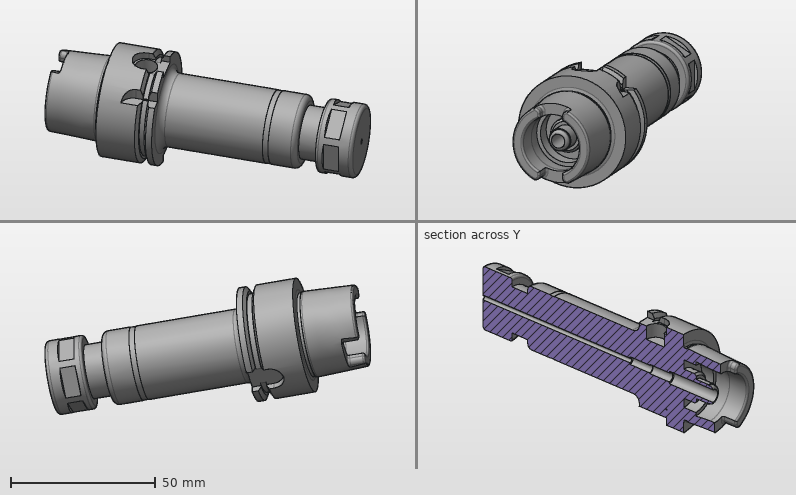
import cadquery as cq
import math

length = 110.0

shank_tip_radius = 14.3
shank_base_radius = 15.1
taper_end = 17.9
land_end = 18.6
undercut_radius = 14.7
undercut_cone_start = 19.7
undercut_rim_radius = 16.0
tip_fillet = 0.72

flange_start = 20.0
flange_end = 40.0
flange_radius = 40.0 / 2
groove_start = 33.9
groove_end = 37.8
groove_floor_radius = 17.4
groove_slope_length = 1.0
groove_slope_angle = 60.0
groove_slope_drop = groove_slope_length * math.tan(math.radians(groove_slope_angle))

body_radius = 13.0
body_root_fillet = 2.8
band_start = 77.9
band_end = 79.9
band_radius = 12.9
body_end = 90.0
body_end_fillet = 2.0
neck_radius = 19.0 / 2

nut_start = 96.7
nut_radius = 13.0
nut_back_fillet = 1.0
nut_front_fillet = 1.3
flat_count = 6
flat_half_angle = 24.5
flat_distance = nut_radius * math.cos(math.radians(flat_half_angle))
flat_start = 99.5
flat_end = 104.9
flat_side_slope = 0.28

bore_radius = 10.5
clamp_groove_start = 8.0
clamp_groove_end = 14.5
clamp_groove_radius = 11.0
bore_floor_radius = 9.6
bore_floor = 19.8
sleeve_start = 14.3
sleeve_radius = 6.0
sleeve_face_radius = 10.5 / 2
tube_start = 6.9
tube_radius = 8.0 / 2
tube_tip_radius = 7.5 / 2
tube_tip_fillet = 1.2
tube_shoulder = 8.8

coolant_steps = [(5.0, 26.4), (3.5, 35.2), (3.0, 44.0), (1.6, length)]

drive_half_width = 4.2
drive_lip_height = 12.9
drive_lip_radius = 1.8
drive_floor_fillet = 0.8
drive_depth_top = 3.4
drive_depth_bottom = 6.0

key_width = 9.0
key_start = 27.8
key_floor = 17.0
chip_hole_diameter = 7.8
chip_hole_x = 32.7
chip_hole_depth = 5.5
notch_floor = 12.1
notch_wall = 12.1


def turned_body():
    """Outer form of the whole tool, revolved about X."""
    slope_bottom = flange_radius - groove_slope_drop
    profile = (
        cq.Workplane("XY")
        .moveTo(0, 0)
        .lineTo(0, shank_tip_radius)
        .lineTo(taper_end, shank_base_radius)
        .lineTo(land_end, shank_base_radius)
        .lineTo(land_end, undercut_radius)
        .lineTo(undercut_cone_start, undercut_radius)
        .lineTo(flange_start, undercut_rim_radius)
        .lineTo(flange_start, flange_radius)
        .lineTo(groove_start, flange_radius)
        .lineTo(groove_start + groove_slope_length, slope_bottom)
        .lineTo(groove_start + groove_slope_length, groove_floor_radius)
        .lineTo(groove_end - groove_slope_length, groove_floor_radius)
        .lineTo(groove_end - groove_slope_length, slope_bottom)
        .lineTo(groove_end, flange_radius)
        .lineTo(flange_end, flange_radius)
        .lineTo(flange_end, body_radius + body_root_fillet)
        .radiusArc((flange_end + body_root_fillet, body_radius), -body_root_fillet)
        .lineTo(band_start, body_radius)
        .lineTo(band_start, band_radius)
        .lineTo(band_end, band_radius)
        .lineTo(band_end, body_radius)
        .lineTo(body_end - body_end_fillet, body_radius)
        .radiusArc((body_end, body_radius - body_end_fillet), body_end_fillet)
        .lineTo(body_end, neck_radius)
        .lineTo(nut_start, neck_radius)
        .lineTo(nut_start, nut_radius - nut_back_fillet)
        .radiusArc((nut_start + nut_back_fillet, nut_radius), nut_back_fillet)
        .lineTo(length - nut_front_fillet, nut_radius)
        .radiusArc((length, nut_radius - nut_front_fillet), nut_front_fillet)
        .lineTo(length, 0)
        .close()
    )
    return profile.revolve(360, (0, 0, 0), (1, 0, 0))


def shank_bore():
    """Space inside the shank, leaving the coolant sleeve and tube standing."""
    sleeve_chamfer = sleeve_radius - sleeve_face_radius
    profile = (
        cq.Workplane("XY")
        .moveTo(0, 0)
        .lineTo(0, bore_radius)
        .lineTo(clamp_groove_start, bore_radius)
        .lineTo(clamp_groove_end, clamp_groove_radius)
        .lineTo(clamp_groove_end, bore_floor_radius)
        .lineTo(bore_floor, bore_floor_radius)
        .lineTo(bore_floor, sleeve_radius)
        .lineTo(sleeve_start + sleeve_chamfer, sleeve_radius)
        .lineTo(sleeve_start, sleeve_face_radius)
        .lineTo(sleeve_start, tube_radius)
        .lineTo(tube_shoulder, tube_radius)
        .lineTo(tube_shoulder, tube_tip_radius)
        .lineTo(tube_start + tube_tip_fillet, tube_tip_radius)
        .radiusArc((tube_start, tube_tip_radius - tube_tip_fillet), -tube_tip_fillet)
        .lineTo(tube_start, 0)
        .close()
    )
    return profile.revolve(360, (0, 0, 0), (1, 0, 0))


def drive_slot(depth):
    """Slot through the +Z wall of the shank tip, with lips rounded outward."""
    lip_start = drive_lip_height - drive_lip_radius
    arc_end = drive_half_width + drive_lip_radius
    reach = flange_radius
    tool = (
        cq.Workplane("YZ")
        .moveTo(-drive_half_width, 0)
        .lineTo(-drive_half_width, lip_start)
        .radiusArc((-arc_end, drive_lip_height), -drive_lip_radius)
        .lineTo(-reach, drive_lip_height)
        .lineTo(-reach, reach)
        .lineTo(reach, reach)
        .lineTo(reach, drive_lip_height)
        .lineTo(arc_end, drive_lip_height)
        .radiusArc((drive_half_width, lip_start), -drive_lip_radius)
        .lineTo(drive_half_width, 0)
        .close()
        .extrude(depth)
    )
    return tool.faces(">X").edges().fillet(drive_floor_fillet)


def open_slot(floor, center_y):
    """Round-ended slot above Z = floor, open toward the front of the flange."""
    half = key_width / 2
    center_x = key_start + half
    run = flange_end - center_x
    height = flange_radius - floor
    round_end = cq.Workplane("XY", (center_x, center_y, floor)).circle(half).extrude(height)
    straight = cq.Workplane("XY", (center_x, center_y, floor)).box(
        run, key_width, height, centered=(False, True, False)
    )
    return round_end.union(straight)


def nut_flat():
    """Wrench flat on the -Y side of the nut, with sloping end walls."""
    rise = nut_radius - flat_distance
    outline = (
        cq.Workplane("XY")
        .moveTo(flat_start, -flat_distance)
        .lineTo(flat_end, -flat_distance)
        .lineTo(flat_end + flat_side_slope, -flat_distance - rise)
        .lineTo(flat_start - flat_side_slope, -flat_distance - rise)
        .close()
    )
    return outline.extrude(nut_radius, both=True)


result = turned_body().cut(shank_bore())

result = result.cut(drive_slot(drive_depth_top))
result = result.cut(drive_slot(drive_depth_bottom).rotate((0, 0, 0), (1, 0, 0), 180))
result = result.faces("<X").edges().fillet(tip_fillet)

step_start = 0.0
for diameter, step_end in coolant_steps:
    passage = cq.Workplane("YZ", (step_start, 0, 0)).circle(diameter / 2).extrude(step_end - step_start)
    result = result.cut(passage)
    step_start = step_end

keyway = open_slot(key_floor, 0)
result = result.cut(keyway).cut(keyway.rotate((0, 0, 0), (1, 0, 0), 180))
chip_hole = cq.Workplane("XY", (chip_hole_x, 0, key_floor)).circle(chip_hole_diameter / 2)
result = result.cut(chip_hole.extrude(-chip_hole_depth))
result = result.cut(open_slot(notch_floor, -notch_wall - key_width / 2))

for index in range(flat_count):
    result = result.cut(nut_flat().rotate((0, 0, 0), (1, 0, 0), index * 360 / flat_count))